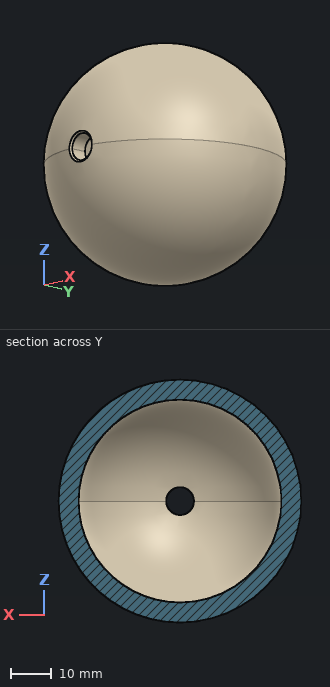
import cadquery as cq
import math

outer_diameter = 60.0
inner_diameter = 50.0
outer_radius = outer_diameter / 2
inner_radius = inner_diameter / 2

bore_diameter = 6.8
mouth_diameter = 7.8
chamfer_angle = 45.0
bore_radius = bore_diameter / 2
mouth_radius = mouth_diameter / 2
chamfer_depth = (mouth_radius - bore_radius) / math.tan(math.radians(chamfer_angle))

rim_y = -math.sqrt(outer_radius**2 - mouth_radius**2)
chamfer_end_y = rim_y + chamfer_depth
bore_end_y = 0.0


def make_hemisphere(radius):
    """Solid half ball above the XY plane."""
    return cq.Workplane("XY").sphere(radius, angle1=0, angle2=90)


def make_hole_cutter():
    """Half profile of the hole, revolved about the Y axis."""
    return (
        cq.Workplane("XY")
        .moveTo(0, -outer_radius)
        .lineTo(mouth_radius, -outer_radius)
        .lineTo(mouth_radius, rim_y)
        .lineTo(bore_radius, chamfer_end_y)
        .lineTo(bore_radius, bore_end_y)
        .lineTo(0, bore_end_y)
        .close()
        .revolve(360, (0, 0, 0), (0, 1, 0))
    )


upper_half = make_hemisphere(outer_radius).cut(make_hemisphere(inner_radius)).cut(make_hole_cutter())
lower_half = upper_half.mirror("XY")
result = upper_half.union(lower_half, clean=False)